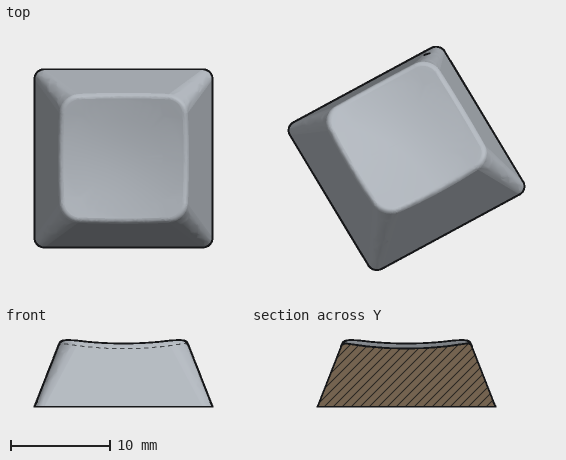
import cadquery as cq

base_width = 18.0
base_corner_radius = 1.0
top_width = 12.5
top_corner_radius = 2.0
body_height = 7.02

dish_radius = 36.0
dish_floor_height = 5.89
rim_fillet_radius = 0.5


def rounded_square(width, corner_radius, height):
    """Sketch of a rounded square lying at the given height."""
    return (
        cq.Sketch()
        .rect(width, width)
        .vertices()
        .fillet(corner_radius)
        .moved(cq.Location(cq.Vector(0, 0, height)))
    )


def tapered_body():
    """Loft whose corners widen towards the top."""
    base = rounded_square(base_width, base_corner_radius, 0)
    top = rounded_square(top_width, top_corner_radius, body_height)
    return cq.Workplane("XY").placeSketch(base, top).loft(ruled=True)


def dish_cutter():
    """Sphere that touches the lowest point of the dish."""
    center_height = dish_floor_height + dish_radius
    return cq.Workplane("XY").sphere(dish_radius).translate((0, 0, center_height))


dished_body = tapered_body().cut(dish_cutter())
dish_rim = dished_body.faces(cq.selectors.TypeSelector("SPHERE")).edges()
result = dish_rim.fillet(rim_fillet_radius)